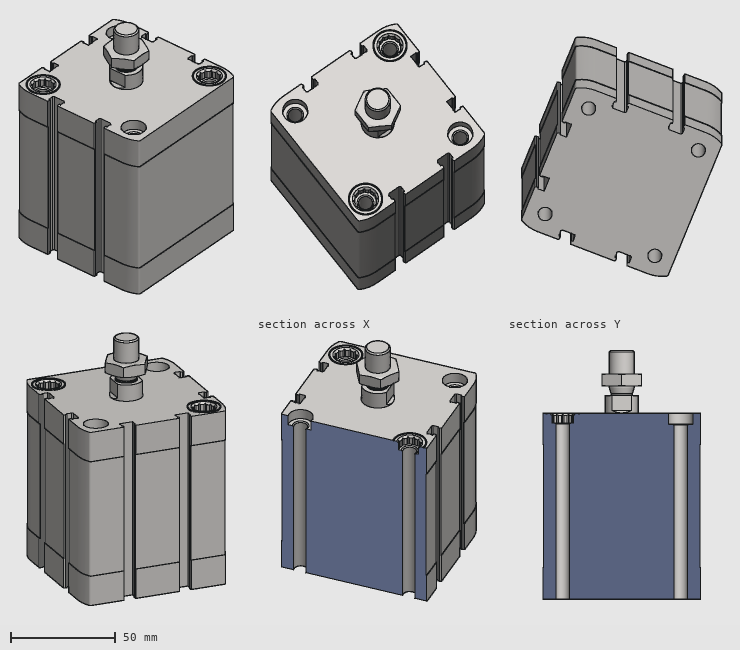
import cadquery as cq
import math

TOTAL_HEIGHT = 119.0
HOUSING_WIDTH = 75.5
HOUSING_HEIGHT = 89.0
CAP_HEIGHT = 15.1
TUBE_INSET = 0.2

CORNER_ARC_START = 28.5
CORNER_ARC_RADIUS = 18.5
CORNER_EDGE_RADIUS = 1.2

SLOT_SPACING = 28.9
SLOT_ENTRY_WIDTH = 6.2
SLOT_FLARE_DEPTH = 0.8
SLOT_MOUTH_WIDTH = 5.6
FACE_SLOT_WIDTH = 7.3
FACE_SLOT_DEPTH = 5.1
FACE_SLOT_LIP = 1.8
FACE_SLOT_CHAMFER = 0.6
SIDE_SLOT_WIDTH = 6.8
SIDE_SLOT_DEPTH = 4.9
SIDE_SLOT_LIP = 1.7

HOLE_SPACING = 56.4
THROUGH_HOLE_DIAMETER = 6.7
HOLE_MOUTH_DIAMETER = 8.0
HOLE_MOUTH_DEPTH = 0.5
COUNTERBORE_DIAMETER = 12.0
COUNTERBORE_DEPTH = 5.2

SOCKET_DEPTH = 4.6
SOCKET_DIAMETER = 10.4
SOCKET_POINT_DIAMETER = 11.4
SOCKET_SQUARE_COUNT = 3
SOCKET_MOUTH_DIAMETER = 12.5
GROOVE_OUTER_DIAMETER = 16.4
GROOVE_BOTTOM_DIAMETER = 16.0
GROOVE_INNER_DIAMETER = 15.2
GROOVE_DEPTH = 0.5

ROD_DIAMETER = 16.0
THREAD_DIAMETER = 12.0
THREAD_END_DIAMETER = 10.6
NECK_DIAMETER = 10.2
NECK_BASE_DIAMETER = 11.0
NECK_BASE_HEIGHT = 0.4
ROD_SHOULDER_Z = 97.3
NECK_TOP_Z = 98.3
TAPER_BOTTOM_Z = 98.8
TAPER_TOP_Z = 101.2
ROD_FLATS_WIDTH = 13.0
FLATS_BOTTOM_Z = 90.3
FLATS_RUNOUT = 1.2

NUT_WIDTH = 19.0
NUT_HEIGHT = 6.0
NUT_BOTTOM_Z = 101.9
NUT_FACE_DIAMETER = 18.9
NUT_CHAMFER_HEIGHT = 0.5

HALF_WIDTH = HOUSING_WIDTH / 2
ROD_SEAT_Z = HOUSING_HEIGHT - CAP_HEIGHT
CORNER_ANGLES = [45, 135, 225, 315]
SOCKET_ANGLES = [45, 225]


def revolve_profile(points):
    """Turn a closed outline of (radius, z) points about the Z axis."""
    return cq.Workplane("XZ").polyline(points).close().revolve(360, (0, 0, 0), (0, 1, 0))


def corner_place(angle):
    """Centre of the screw hole in the corner that lies at the given angle."""
    distance = HOLE_SPACING / math.sqrt(2)
    return (distance * math.cos(math.radians(angle)), distance * math.sin(math.radians(angle)), 0)


def housing_block(inset, bottom, height):
    """Block with flat sides and arced ends on its front and back sides."""
    half_width = HALF_WIDTH - inset
    arc_start = CORNER_ARC_START
    arc_run = half_width - arc_start
    arc_middle_run = arc_run / 2
    arc_drop = CORNER_ARC_RADIUS - math.sqrt(CORNER_ARC_RADIUS**2 - arc_run**2)
    arc_middle_drop = CORNER_ARC_RADIUS - math.sqrt(CORNER_ARC_RADIUS**2 - arc_middle_run**2)
    arc_middle_x = arc_start + arc_middle_run
    arc_middle_y = half_width - arc_middle_drop
    side_end = half_width - arc_drop
    return (
        cq.Workplane("XY", origin=(0, 0, bottom))
        .moveTo(-arc_start, half_width)
        .lineTo(arc_start, half_width)
        .threePointArc((arc_middle_x, arc_middle_y), (half_width, side_end))
        .lineTo(half_width, -side_end)
        .threePointArc((arc_middle_x, -arc_middle_y), (arc_start, -half_width))
        .lineTo(-arc_start, -half_width)
        .threePointArc((-arc_middle_x, -arc_middle_y), (-half_width, -side_end))
        .lineTo(-half_width, side_end)
        .threePointArc((-arc_middle_x, arc_middle_y), (-arc_start, half_width))
        .close()
        .extrude(height)
        .faces("<X or >X")
        .edges("|Z")
        .fillet(CORNER_EDGE_RADIUS)
    )


def t_slot(width, depth, lip, floor_chamfer=0):
    """Slot cutter that opens at y = HALF_WIDTH, centred on x = 0."""
    mouth = (
        cq.Workplane("XY")
        .polyline([
            (-SLOT_ENTRY_WIDTH / 2, 0),
            (-SLOT_MOUTH_WIDTH / 2, -SLOT_FLARE_DEPTH),
            (-SLOT_MOUTH_WIDTH / 2, -lip),
            (SLOT_MOUTH_WIDTH / 2, -lip),
            (SLOT_MOUTH_WIDTH / 2, -SLOT_FLARE_DEPTH),
            (SLOT_ENTRY_WIDTH / 2, 0),
        ])
        .close()
        .extrude(HOUSING_HEIGHT)
    )
    chamber_depth = depth - lip
    chamber = (
        cq.Workplane("XY")
        .center(0, -lip - chamber_depth / 2)
        .rect(width, chamber_depth)
        .extrude(HOUSING_HEIGHT)
    )
    if floor_chamfer > 0:
        chamber = chamber.edges("|Z and <Y").chamfer(floor_chamfer)
    return mouth.union(chamber).translate((0, HALF_WIDTH, 0))


def screw_hole(recess_depth):
    """Through hole whose mouth widens at the floor of its recess."""
    floor = HOUSING_HEIGHT - recess_depth
    return revolve_profile([
        (0, 0),
        (THROUGH_HOLE_DIAMETER / 2, 0),
        (THROUGH_HOLE_DIAMETER / 2, floor - HOLE_MOUTH_DEPTH),
        (HOLE_MOUTH_DIAMETER / 2, floor),
        (0, floor),
    ])


def counterbore():
    """Plain recess above a screw hole."""
    floor = HOUSING_HEIGHT - COUNTERBORE_DEPTH
    return (
        cq.Workplane("XY", origin=(0, 0, floor))
        .circle(COUNTERBORE_DIAMETER / 2)
        .extrude(COUNTERBORE_DEPTH)
    )


def splined_socket():
    """Twelve-point socket with a conical mouth and a V-groove around it."""
    floor = HOUSING_HEIGHT - SOCKET_DEPTH
    turn_step = 90 / SOCKET_SQUARE_COUNT
    square_side = SOCKET_POINT_DIAMETER / math.sqrt(2)
    socket = cq.Workplane("XY", origin=(0, 0, floor)).circle(SOCKET_DIAMETER / 2).extrude(SOCKET_DEPTH)
    for turn in range(SOCKET_SQUARE_COUNT):
        square = (
            cq.Workplane("XY", origin=(0, 0, floor))
            .transformed(rotate=(0, 0, 45 + turn * turn_step))
            .rect(square_side, square_side)
            .extrude(SOCKET_DEPTH)
        )
        socket = socket.union(square)
    mouth_depth = (SOCKET_MOUTH_DIAMETER - SOCKET_DIAMETER) / 2
    mouth = revolve_profile([
        (0, HOUSING_HEIGHT - mouth_depth),
        (SOCKET_DIAMETER / 2, HOUSING_HEIGHT - mouth_depth),
        (SOCKET_MOUTH_DIAMETER / 2, HOUSING_HEIGHT),
        (0, HOUSING_HEIGHT),
    ])
    groove = revolve_profile([
        (GROOVE_INNER_DIAMETER / 2, HOUSING_HEIGHT),
        (GROOVE_BOTTOM_DIAMETER / 2, HOUSING_HEIGHT - GROOVE_DEPTH),
        (GROOVE_OUTER_DIAMETER / 2, HOUSING_HEIGHT),
    ])
    return socket.union(mouth).union(groove)


def make_housing():
    """Tube between two slightly larger caps, with slots, screw holes and the rod seat."""
    tube_height = HOUSING_HEIGHT - 2 * CAP_HEIGHT
    body = housing_block(0, 0, CAP_HEIGHT)
    body = body.union(housing_block(TUBE_INSET, CAP_HEIGHT, tube_height))
    body = body.union(housing_block(0, CAP_HEIGHT + tube_height, CAP_HEIGHT))

    face_slot = t_slot(FACE_SLOT_WIDTH, FACE_SLOT_DEPTH, FACE_SLOT_LIP, FACE_SLOT_CHAMFER)
    side_slot = t_slot(SIDE_SLOT_WIDTH, SIDE_SLOT_DEPTH, SIDE_SLOT_LIP)
    for offset in (-SLOT_SPACING / 2, SLOT_SPACING / 2):
        back_slot = face_slot.translate((offset, 0, 0))
        front_slot = back_slot.rotate((0, 0, 0), (0, 0, 1), 180)
        left_slot = side_slot.translate((offset, 0, 0)).rotate((0, 0, 0), (0, 0, 1), 90)
        body = body.cut(back_slot).cut(front_slot).cut(left_slot)

    for angle in CORNER_ANGLES:
        if angle in SOCKET_ANGLES:
            cutter = screw_hole(SOCKET_DEPTH).union(splined_socket())
        else:
            cutter = screw_hole(COUNTERBORE_DEPTH).union(counterbore())
        body = body.cut(cutter.translate(corner_place(angle)))

    rod_seat = cq.Workplane("XY", origin=(0, 0, ROD_SEAT_Z)).circle(ROD_DIAMETER / 2).extrude(CAP_HEIGHT)
    return body.cut(rod_seat)


def make_rod():
    """Rod with two wrench flats, a necked shoulder and a stud at its end."""
    end_chamfer = (THREAD_DIAMETER - THREAD_END_DIAMETER) / 2
    rod = revolve_profile([
        (0, ROD_SEAT_Z),
        (ROD_DIAMETER / 2, ROD_SEAT_Z),
        (ROD_DIAMETER / 2, ROD_SHOULDER_Z),
        (NECK_BASE_DIAMETER / 2, ROD_SHOULDER_Z),
        (NECK_DIAMETER / 2, ROD_SHOULDER_Z + NECK_BASE_HEIGHT),
        (NECK_DIAMETER / 2, NECK_TOP_Z),
        (THREAD_END_DIAMETER / 2, TAPER_BOTTOM_Z),
        (THREAD_DIAMETER / 2, TAPER_TOP_Z),
        (THREAD_DIAMETER / 2, TOTAL_HEIGHT - end_chamfer),
        (THREAD_END_DIAMETER / 2, TOTAL_HEIGHT),
        (0, TOTAL_HEIGHT),
    ])
    flat = (
        cq.Workplane("YZ")
        .polyline([
            (ROD_FLATS_WIDTH / 2, ROD_SHOULDER_Z),
            (ROD_FLATS_WIDTH / 2, FLATS_BOTTOM_Z),
            (ROD_DIAMETER / 2, FLATS_BOTTOM_Z - FLATS_RUNOUT),
            (ROD_DIAMETER / 2, ROD_SHOULDER_Z),
        ])
        .close()
        .extrude(ROD_DIAMETER / 2, both=True)
    )
    return rod.cut(flat).cut(flat.mirror("XZ"))


def make_nut():
    """Hexagon nut with corners on the Y axis and both ends chamfered."""
    corner_radius = NUT_WIDTH / math.sqrt(3)
    top = NUT_BOTTOM_Z + NUT_HEIGHT
    hexagon = (
        cq.Workplane("XY", origin=(0, 0, NUT_BOTTOM_Z))
        .polygon(6, 2 * corner_radius)
        .extrude(NUT_HEIGHT)
        .rotate((0, 0, 0), (0, 0, 1), 90)
    )
    chamfered_ring = revolve_profile([
        (THREAD_DIAMETER / 2, NUT_BOTTOM_Z),
        (NUT_FACE_DIAMETER / 2, NUT_BOTTOM_Z),
        (corner_radius, NUT_BOTTOM_Z + NUT_CHAMFER_HEIGHT),
        (corner_radius, top - NUT_CHAMFER_HEIGHT),
        (NUT_FACE_DIAMETER / 2, top),
        (THREAD_DIAMETER / 2, top),
    ])
    return hexagon.intersect(chamfered_ring)


housing = make_housing()
rod = make_rod()
nut = make_nut()

result = cq.Compound.makeCompound([housing.val(), rod.val(), nut.val()])